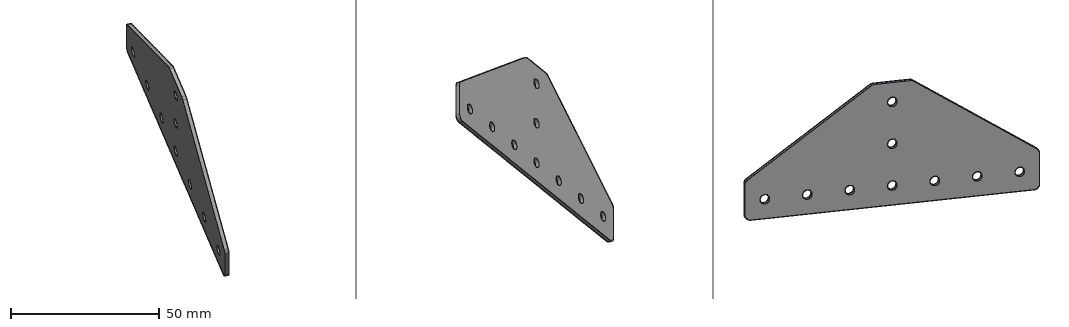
import cadquery as cq

length = 104.0
height = 44.0
thickness = 1.5

base_spaces = 6
stem_spaces = 2
hole_diameter = 3.3
pitch = (length - height) / (base_spaces - stem_spaces)
edge_margin = (length - base_spaces * pitch) / 2

corner_radius = 2.0
half_length = length / 2
half_top = edge_margin
side_height = 2 * edge_margin


def make_plate():
    """Tapered plate standing on the XZ plane, with rounded corners."""
    outline = [
        (-half_length, 0),
        (half_length, 0),
        (half_length, side_height),
        (half_top, height),
        (-half_top, height),
        (-half_length, side_height),
    ]
    plate = cq.Workplane("XZ").polyline(outline).close().extrude(thickness)
    return plate.edges("|Y").fillet(corner_radius)


def hole_centers():
    """Row along the base, then the remaining holes up the center line."""
    base_row = [
        ((i - base_spaces / 2) * pitch, edge_margin) for i in range(base_spaces + 1)
    ]
    stem = [(0, edge_margin + i * pitch) for i in range(1, stem_spaces + 1)]
    return base_row + stem


def make_hole_cutters():
    """Round pins through the full plate thickness."""
    return (
        cq.Workplane("XZ")
        .pushPoints(hole_centers())
        .circle(hole_diameter / 2)
        .extrude(thickness)
    )


result = make_plate().cut(make_hole_cutters())